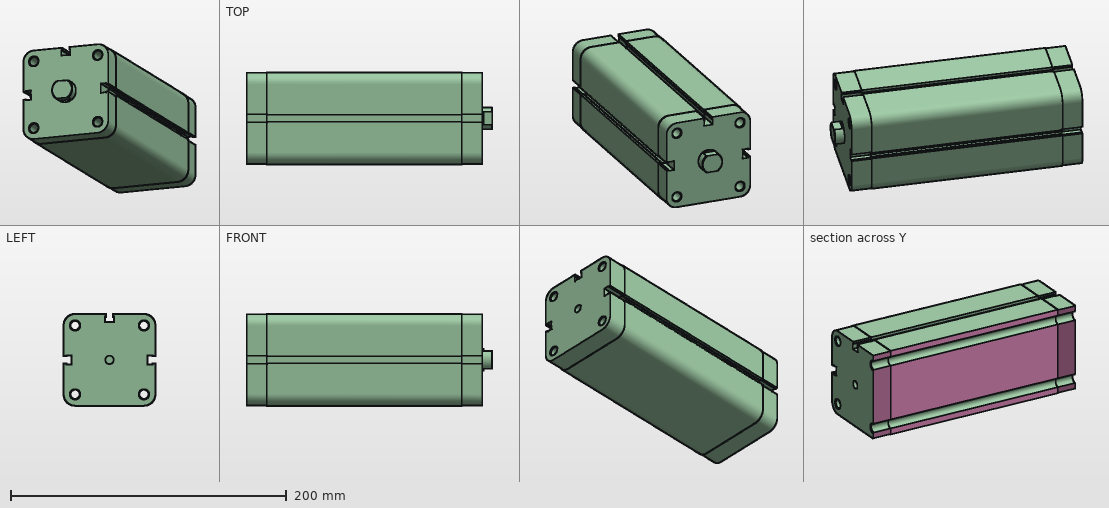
import cadquery as cq

total_length = 178.5
rod_reach = 7.3
cap_length = 14.8
tube_length = total_length - rod_reach - 2 * cap_length
x_rear = -total_length / 2
x_tube = x_rear + cap_length
x_front_cap = x_tube + tube_length
x_front_face = x_front_cap + cap_length

tube_width = 67.0
bolt_offset = 25.0
slot_mouth = 5.0
slot_width = 6.0
slot_floor = 27.7
slot_lip = 30.9
slot_angles = (0, 90, -90)

cap_inset = 0.32
cap_slot_clearance = 0.45

bolt_hole_diameter = 6.6
bolt_hole_chamfer = 0.5
port_diameter = 6.0
rod_diameter = 16.0
rod_across_flats = 13.0
rod_flat_length = 6.5
rod_chamfer = 0.45


def bar_along_x(diameter, x_start, length):
    return cq.Workplane("YZ", origin=(x_start, 0, 0)).circle(diameter / 2).extrude(length)


def slot_cutter(x_start, length, clearance):
    """Stepped slot in the top face, narrower at its mouth."""
    plane = cq.Workplane("YZ", origin=(x_start, 0, 0))
    half_mouth = slot_mouth / 2 + clearance
    half_width = slot_width / 2 + clearance
    floor = slot_floor - clearance
    lip = slot_lip + clearance
    surface = tube_width / 2
    right_side = [(half_width, floor), (half_width, lip), (half_mouth, lip), (half_mouth, surface)]
    left_side = [(-y, z) for y, z in reversed(right_side)]
    return plane.polyline(right_side + left_side).close().extrude(length)


def slotted_block(x_start, length, inset, slot_clearance):
    """Rounded square block with the three slots and the four bolt holes."""
    half_width = tube_width / 2 - inset
    plane = cq.Workplane("YZ", origin=(x_start, 0, 0))
    block = plane.rect(2 * half_width, 2 * half_width).extrude(length)
    block = block.edges("|X").fillet(half_width - bolt_offset)
    for angle in slot_angles:
        cutter = slot_cutter(x_start, length, slot_clearance)
        block = block.cut(cutter.rotate((0, 0, 0), (1, 0, 0), angle))
    bolt_holes = (
        plane.rect(2 * bolt_offset, 2 * bolt_offset, forConstruction=True)
        .vertices()
        .circle(bolt_hole_diameter / 2)
        .extrude(length)
    )
    return block.cut(bolt_holes)


def chamfer_bolt_holes(cap, x_face, inward):
    """Countersink the bolt holes at x_face; inward is the X direction into the cap."""
    hole_radius = bolt_hole_diameter / 2
    for y in (-bolt_offset, bolt_offset):
        for z in (-bolt_offset, bolt_offset):
            cone = cq.Solid.makeCone(
                hole_radius + bolt_hole_chamfer,
                hole_radius,
                bolt_hole_chamfer,
                cq.Vector(x_face, y, z),
                cq.Vector(inward, 0, 0),
            )
            cap = cap.cut(cq.Workplane(cone))
    return cap


def make_cap(x_start, x_face, inward, bore_diameter):
    """End cap with a central bore, its bolt holes chamfered on the outer face."""
    cap = slotted_block(x_start, cap_length, cap_inset, cap_slot_clearance)
    cap = chamfer_bolt_holes(cap, x_face, inward)
    return cap.cut(bar_along_x(bore_diameter, x_start, cap_length))


def make_rod():
    """Piston rod through the front cap, with two flats on its chamfered end."""
    rod_length = cap_length + rod_reach
    rod = bar_along_x(rod_diameter, x_front_cap, rod_length).faces(">X").chamfer(rod_chamfer)
    flat_center = x_front_cap + rod_length - rod_flat_length / 2
    for side in (-1, 1):
        waste = cq.Workplane("XY").box(rod_flat_length, rod_diameter, rod_diameter)
        rod = rod.cut(waste.translate((flat_center, 0, side * (rod_across_flats + rod_diameter) / 2)))
    return rod


tube = slotted_block(x_tube, tube_length, 0, 0)
rear_cap = make_cap(x_rear, x_rear, 1, port_diameter)
front_cap = make_cap(x_front_cap, x_front_face, -1, rod_diameter)
rod = make_rod()

result = cq.Compound.makeCompound([tube.val(), rear_cap.val(), front_cap.val(), rod.val()])